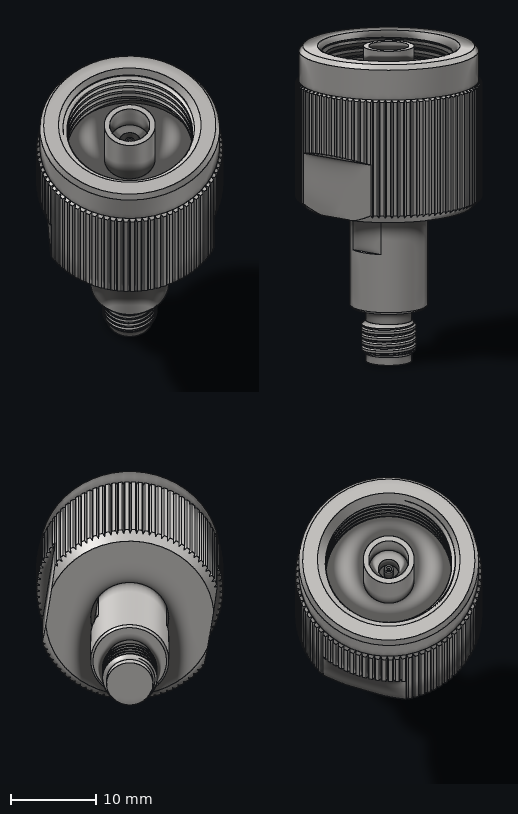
import cadquery as cq
import math


TOTAL_HEIGHT = 37.77
WRENCH_ANGLE = 22.5

NUT_BOTTOM = 18.77
KNURL_RADIUS = 10.895
KNURL_ROOT_RADIUS = 10.58
KNURL_COUNT = 88
KNURL_GROOVE_WIDTH = 0.35
KNURL_TOP = 33.6
KNURL_TOP_CHAMFER_HEIGHT = 0.23
NUT_BOTTOM_CHAMFER = 1.02
COLLAR_RADIUS = 10.55
COLLAR_CHAMFER_RADIAL = 0.45
COLLAR_CHAMFER_HEIGHT = 0.55
NUT_FLAT_DISTANCE = 9.6
NUT_FLAT_TOP = 25.85
NUT_FLAT_RUNOUT_HEIGHT = 0.68

MOUTH_RADIUS = 8.35
NUT_THREAD_CREST_RADIUS = 7.35
NUT_THREAD_ROOT_RADIUS = 7.8
NUT_THREAD_PITCH = 1.05
NUT_THREAD_ROOT_WIDTH = 0.15
NUT_THREAD_GROOVE_HEIGHT = 35.65
NUT_THREAD_BOTTOM = 32.55
MOUTH_DEPTH = MOUTH_RADIUS - NUT_THREAD_CREST_RADIUS

FLANGE_RADIUS = 8.12
FLANGE_TOP = 31.25
FLANGE_THICKNESS = 2.25
FLANGE_BOTTOM = FLANGE_TOP - FLANGE_THICKNESS
STEM_RADIUS = 4.57
STEM_BOTTOM = 6.5
STEM_CHAMFER = 0.25
STEM_FLAT_DISTANCE = 4.05
STEM_FLAT_BOTTOM = 13.7
NECK_RADIUS = 2.72

PLUG_THREAD_BOTTOM = 0.95
PLUG_THREAD_TOP = 4.9
PLUG_THREAD_CREST_RADIUS = 3.2
PLUG_THREAD_ROOT_RADIUS = 2.95
PLUG_THREAD_PITCH = 0.75
PLUG_THREAD_ROOT_WIDTH = 0.15
PLUG_THREAD_GROOVE_HEIGHT = 2.35

POST_RADIUS = 3.0
POST_BORE_RADIUS = 2.35
POST_BORE_DEPTH = 3.1
AIR_GAP_RADIUS = 1.2
AIR_GAP_DEPTH = 1.9
CONTACT_RADIUS = 0.53
CONTACT_HOLE_RADIUS = 0.15
CONTACT_MOUTH_RADIUS = 0.35
CONTACT_HOLE_DEPTH = 1.15

FLANK_SLOPE = math.tan(math.radians(30))
CUT_MARGIN = 0.1


def revolved(points):
    """Solid of revolution about Z from (radius, height) points, its seam in line with the wrench flats."""
    solid = cq.Workplane("XZ").polyline(points).close().revolve(360, (0, 0, 0), (0, 1, 0))
    return solid.rotate((0, 0, 0), (0, 0, 1), WRENCH_ANGLE)


def polar(radius, angle):
    return radius * math.cos(angle), radius * math.sin(angle)


def cut_thread(body, crest_radius, root_radius, root_width, pitch, groove_height, bottom, top):
    """Cut a right-handed helical groove, turn by turn, from below the bottom to above the top."""
    outward = 1 if root_radius > crest_radius else -1
    open_radius = crest_radius - outward * CUT_MARGIN
    half_root = root_width / 2
    half_open = half_root + abs(root_radius - open_radius) * FLANK_SLOPE
    one_turn = (
        cq.Workplane("XZ")
        .polyline(
            [
                (open_radius, -half_open),
                (root_radius, -half_root),
                (root_radius, half_root),
                (open_radius, half_open),
            ]
        )
        .close()
        .sweep(cq.Workplane(cq.Wire.makeHelix(pitch, pitch, crest_radius)), isFrenet=True)
    )
    first_turn = math.floor((bottom - groove_height) / pitch)
    last_turn = math.ceil((top - groove_height) / pitch)
    for turn in range(first_turn, last_turn):
        body = body.cut(one_turn.translate((0, 0, groove_height + turn * pitch)), clean=False)
    return body


def flat_pair(profile, width):
    """Two opposite cutters with an (outward distance, height) profile, turned to the wrench angle."""
    cutter = cq.Workplane("XZ").polyline(profile).close().extrude(width / 2, both=True)
    first = cutter.rotate((0, 0, 0), (0, 0, 1), WRENCH_ANGLE)
    return first.union(cutter.rotate((0, 0, 0), (0, 0, 1), WRENCH_ANGLE + 180))


def knurl_prism():
    """Prism with a V groove between each two crests; one crest faces along each axis."""
    pitch = 2 * math.pi / KNURL_COUNT
    half_crest = (pitch - KNURL_GROOVE_WIDTH / KNURL_RADIUS) / 2
    outline = cq.Workplane("XY").workplane(offset=NUT_BOTTOM).moveTo(*polar(KNURL_RADIUS, -half_crest))
    for tooth in range(KNURL_COUNT):
        middle = tooth * pitch
        outline = outline.threePointArc(
            polar(KNURL_RADIUS, middle), polar(KNURL_RADIUS, middle + half_crest)
        ).lineTo(*polar(KNURL_ROOT_RADIUS, middle + pitch / 2))
        if tooth < KNURL_COUNT - 1:
            outline = outline.lineTo(*polar(KNURL_RADIUS, middle + pitch - half_crest))
    return outline.close().extrude(TOTAL_HEIGHT - NUT_BOTTOM)


def make_nut():
    blank = revolved(
        [
            (STEM_RADIUS, NUT_BOTTOM),
            (KNURL_RADIUS - NUT_BOTTOM_CHAMFER, NUT_BOTTOM),
            (KNURL_RADIUS, NUT_BOTTOM + NUT_BOTTOM_CHAMFER),
            (KNURL_RADIUS, KNURL_TOP - KNURL_TOP_CHAMFER_HEIGHT),
            (COLLAR_RADIUS, KNURL_TOP),
            (COLLAR_RADIUS, TOTAL_HEIGHT - COLLAR_CHAMFER_HEIGHT),
            (COLLAR_RADIUS - COLLAR_CHAMFER_RADIAL, TOTAL_HEIGHT),
            (MOUTH_RADIUS, TOTAL_HEIGHT),
            (NUT_THREAD_CREST_RADIUS, TOTAL_HEIGHT - MOUTH_DEPTH),
            (NUT_THREAD_CREST_RADIUS, NUT_THREAD_BOTTOM),
            (FLANGE_RADIUS, NUT_THREAD_BOTTOM),
            (FLANGE_RADIUS, FLANGE_BOTTOM),
            (STEM_RADIUS, FLANGE_BOTTOM),
        ]
    )

    flat_profile = [
        (-NUT_FLAT_DISTANCE, NUT_BOTTOM),
        (-NUT_FLAT_DISTANCE, NUT_FLAT_TOP),
        (-KNURL_RADIUS, NUT_FLAT_TOP + NUT_FLAT_RUNOUT_HEIGHT),
        (-KNURL_RADIUS, NUT_BOTTOM),
    ]
    nut = blank.intersect(knurl_prism()).cut(flat_pair(flat_profile, 2 * KNURL_RADIUS))

    return cut_thread(
        nut,
        NUT_THREAD_CREST_RADIUS,
        NUT_THREAD_ROOT_RADIUS,
        NUT_THREAD_ROOT_WIDTH,
        NUT_THREAD_PITCH,
        NUT_THREAD_GROOVE_HEIGHT,
        NUT_THREAD_BOTTOM,
        TOTAL_HEIGHT,
    )


def make_adapter_body():
    thread_chamfer = PLUG_THREAD_CREST_RADIUS - NECK_RADIUS
    post_floor = TOTAL_HEIGHT - POST_BORE_DEPTH
    gap_floor = post_floor - AIR_GAP_DEPTH
    hole_floor = post_floor - CONTACT_HOLE_DEPTH
    contact_chamfer = CONTACT_MOUTH_RADIUS - CONTACT_HOLE_RADIUS
    body = revolved(
        [
            (0, 0),
            (NECK_RADIUS, 0),
            (NECK_RADIUS, PLUG_THREAD_BOTTOM),
            (PLUG_THREAD_CREST_RADIUS, PLUG_THREAD_BOTTOM + thread_chamfer),
            (PLUG_THREAD_CREST_RADIUS, PLUG_THREAD_TOP - thread_chamfer),
            (NECK_RADIUS, PLUG_THREAD_TOP),
            (NECK_RADIUS, STEM_BOTTOM),
            (STEM_RADIUS - STEM_CHAMFER, STEM_BOTTOM),
            (STEM_RADIUS, STEM_BOTTOM + STEM_CHAMFER),
            (STEM_RADIUS, FLANGE_BOTTOM),
            (FLANGE_RADIUS, FLANGE_BOTTOM),
            (FLANGE_RADIUS, FLANGE_TOP),
            (POST_RADIUS, FLANGE_TOP),
            (POST_RADIUS, TOTAL_HEIGHT),
            (POST_BORE_RADIUS, TOTAL_HEIGHT),
            (POST_BORE_RADIUS, post_floor),
            (AIR_GAP_RADIUS, post_floor),
            (AIR_GAP_RADIUS, gap_floor),
            (CONTACT_RADIUS, gap_floor),
            (CONTACT_RADIUS, post_floor),
            (CONTACT_MOUTH_RADIUS, post_floor),
            (CONTACT_HOLE_RADIUS, post_floor - contact_chamfer),
            (CONTACT_HOLE_RADIUS, hole_floor),
            (0, hole_floor),
        ]
    )

    body = cut_thread(
        body,
        PLUG_THREAD_CREST_RADIUS,
        PLUG_THREAD_ROOT_RADIUS,
        PLUG_THREAD_ROOT_WIDTH,
        PLUG_THREAD_PITCH,
        PLUG_THREAD_GROOVE_HEIGHT,
        PLUG_THREAD_BOTTOM,
        PLUG_THREAD_TOP,
    )

    flat_profile = [
        (-STEM_FLAT_DISTANCE, STEM_FLAT_BOTTOM),
        (-STEM_FLAT_DISTANCE, NUT_BOTTOM),
        (-STEM_RADIUS, NUT_BOTTOM),
        (-STEM_RADIUS, STEM_FLAT_BOTTOM),
    ]
    return body.cut(flat_pair(flat_profile, 2 * STEM_RADIUS))


nut = make_nut()
adapter_body = make_adapter_body()

result = cq.Compound.makeCompound([nut.solids().val(), adapter_body.solids().val()])